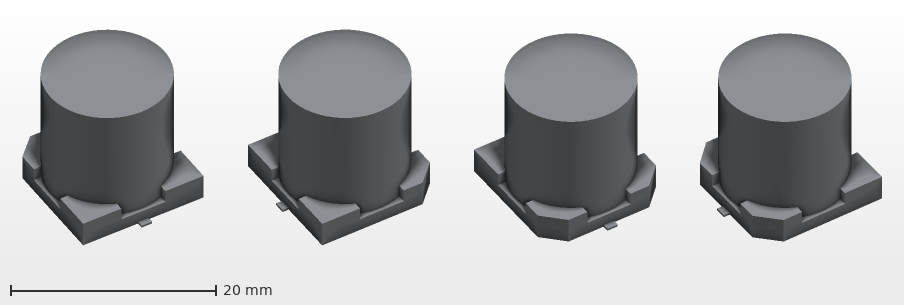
import cadquery as cq

base_side = 13.69
base_height = 2.8
corner_chamfer = 2.18

notch_width = 5.0
notch_depth = 1.4
notch_floor = base_height - notch_depth

can_diameter = 13.0
can_top = 14.0

lead_span = 15.01
lead_gap = 5.54
lead_width = 1.19
lead_thickness = 0.25
lead_standoff = 0.05


def make_base():
    """Base plate with chamfered -X corners and a notch in every side."""
    plate = (
        cq.Workplane("XY")
        .rect(base_side, base_side)
        .extrude(base_height)
        .edges("|Z and <X")
        .chamfer(corner_chamfer)
    )
    notches = cq.Workplane("XY").workplane(offset=notch_floor)
    notch_along_x = notches.rect(base_side, notch_width).extrude(notch_depth)
    notch_along_y = notches.rect(notch_width, base_side).extrude(notch_depth)
    return plate.cut(notch_along_x).cut(notch_along_y)


def make_can():
    """Solid can that fills the middle of the notched rim."""
    return (
        cq.Workplane("XY")
        .workplane(offset=notch_floor)
        .circle(can_diameter / 2)
        .extrude(can_top - notch_floor)
    )


def make_lead(side):
    """Flat lead on the +X (side = 1) or -X (side = -1) half of the base."""
    length = (lead_span - lead_gap) / 2
    center_x = side * (lead_span + lead_gap) / 4
    return (
        cq.Workplane("XY")
        .workplane(offset=-lead_standoff)
        .center(center_x, 0)
        .rect(length, lead_width)
        .extrude(lead_thickness)
    )


result = make_base().union(make_can())
for lead_side in (-1, 1):
    result = result.union(make_lead(lead_side))